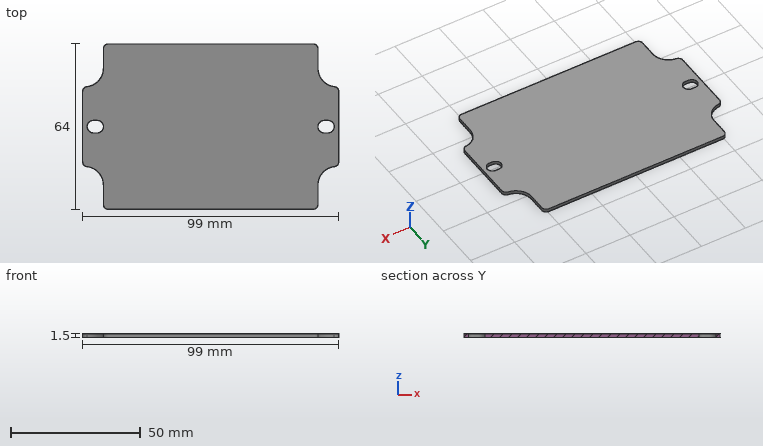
import cadquery as cq

length = 99.0
width = 64.0
thickness = 1.5
corner_radius = 2.0

notch_depth = 8.0
notch_radius = 7.0
notch_center_y = 22.5

slot_length = 6.2
slot_width = 4.8
slot_edge_distance = 4.95


def notch(side_x, side_y):
    """Round-bottomed cutter that removes one corner of the plate."""
    center_x = side_x * (length / 2 - notch_depth + notch_radius)
    center_y = side_y * notch_center_y
    straight_length = width / 2 - notch_center_y
    bottom = cq.Workplane("XY").center(center_x, center_y).circle(notch_radius).extrude(thickness)
    straight = (
        cq.Workplane("XY")
        .center(center_x, center_y + side_y * straight_length / 2)
        .rect(2 * notch_radius, straight_length)
        .extrude(thickness)
    )
    return bottom.union(straight)


plate = cq.Workplane("XY").box(length, width, thickness, centered=(True, True, False))
for side_x in (-1, 1):
    for side_y in (-1, 1):
        plate = plate.cut(notch(side_x, side_y))

end_corners = plate.edges("|Z").edges("<X or >X")
side_corners = plate.edges("|Z").edges("<Y or >Y")
plate = plate.newObject(end_corners.vals() + side_corners.vals()).fillet(corner_radius)

slot_x = length / 2 - slot_edge_distance
slots = (
    cq.Workplane("XY")
    .pushPoints([(-slot_x, 0), (slot_x, 0)])
    .slot2D(slot_length, slot_width)
    .extrude(thickness)
)

result = plate.cut(slots)